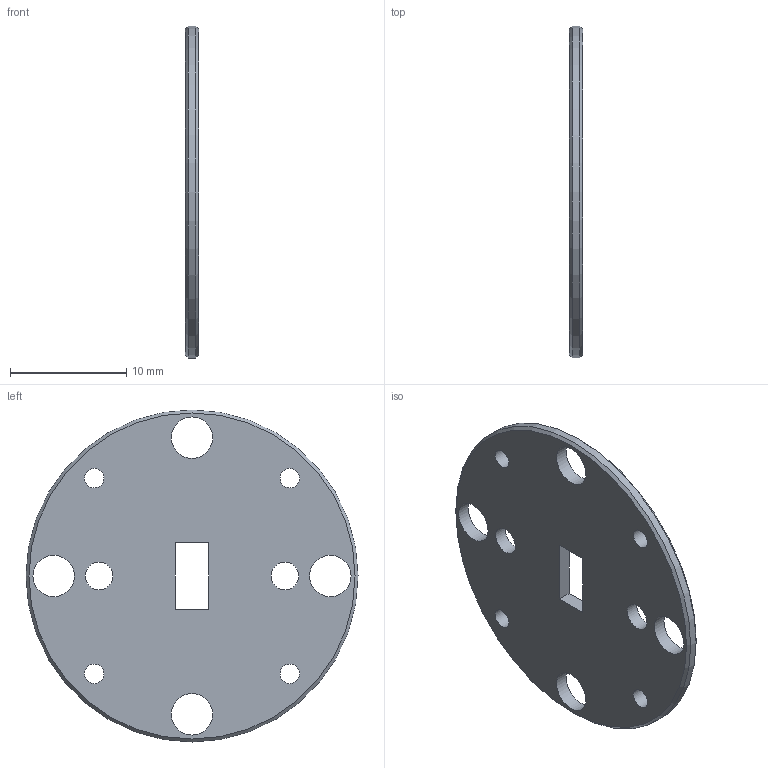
import cadquery as cq

thickness = 1.17
disc_diameter = 28.575
edge_chamfer = 0.254

opening_width = 2.845
opening_height = 5.69

hole_circle_radius = 11.906
large_hole_diameter = 3.57
small_hole_diameter = 1.68
holes_per_set = 4
large_hole_start_angle = 0
small_hole_start_angle = 45

inner_hole_diameter = 2.39
inner_hole_offset = 8.0


def back_plane():
    """Sketch plane on the -X face; extruding by the thickness reaches the +X face."""
    return cq.Workplane("YZ", origin=(-thickness / 2, 0, 0))


def make_disc():
    """Disc centred on the origin, with both rims chamfered."""
    disc = back_plane().circle(disc_diameter / 2).extrude(thickness)
    return disc.faces("<X or >X").edges().chamfer(edge_chamfer)


def hole_circle_cutter(diameter, start_angle):
    """Through cylinders equally spaced around the hole circle."""
    return (
        back_plane()
        .polarArray(hole_circle_radius, start_angle, 360, holes_per_set)
        .circle(diameter / 2)
        .extrude(thickness)
    )


def inner_hole_cutter():
    """Two through cylinders on the Y axis, either side of the opening."""
    return (
        back_plane()
        .pushPoints([(-inner_hole_offset, 0), (inner_hole_offset, 0)])
        .circle(inner_hole_diameter / 2)
        .extrude(thickness)
    )


def opening_cutter():
    """Rectangular bar through the centre of the disc."""
    return back_plane().rect(opening_width, opening_height).extrude(thickness)


result = (
    make_disc()
    .cut(hole_circle_cutter(large_hole_diameter, large_hole_start_angle))
    .cut(hole_circle_cutter(small_hole_diameter, small_hole_start_angle))
    .cut(inner_hole_cutter())
    .cut(opening_cutter())
)